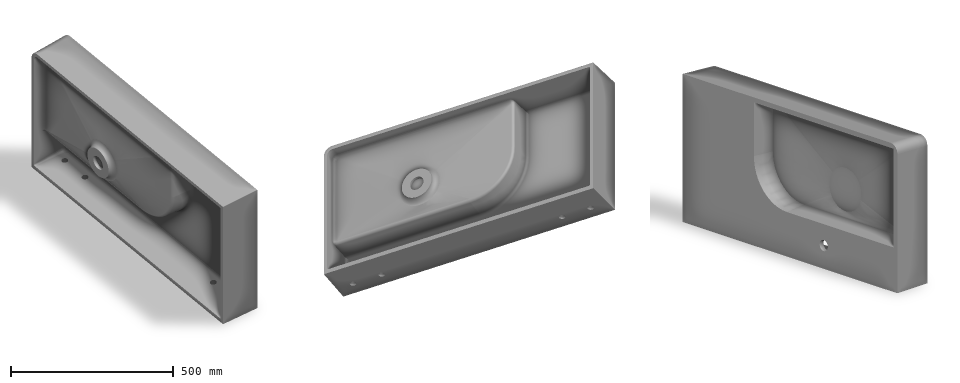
import cadquery as cq
import math

WIDTH = 950.0
DEPTH = 130.0
HEIGHT = 480.0
CORNER_RADIUS = 29.0

LEAN_LEFT = 3.0
LEAN_RIGHT = 6.0
LEAN_TOP = 3.0
LEAN_BOTTOM = 1.0

RIM_LEFT = 14.0
RIM_RIGHT = 933.0
RIM_TOP = 465.0
RIM_BOTTOM = 15.0
CAVITY_LEAN = 4.0
CAVITY_LEAN_BOTTOM = 6.0
TOP_LEFT_RADIUS = 19.0
RIM_SMALL_RADIUS = 5.0
DECK_SMALL_RADIUS = 11.0
DECK_THICKNESS = 16.0
DECK_Y = DEPTH - DECK_THICKNESS
INNER_FILLET = 9.5

BOWL_RIGHT = 651.0
BOWL_BOTTOM = 128.0
BOWL_RADIUS = 161.5
BOWL_FLOOR_Y = 40.0
BOWL_DRAFT = 7.0
BOWL_OVERLAP = 9.5
BOWL_THICKNESS = 16.0

DRAIN_X = 326.0
DRAIN_Z = 236.0
DRAIN_RADIUS = 24.0
BOSS_RADIUS = 52.0
FLARE_RADIUS = 70.0
FLARE_Y = 22.0
BOSS_FACE_Y = 3.0
BOSS_EDGE_HEIGHT = 2.0
COVER_RADIUS = 38.0
SEAT_THICKNESS = 11.0
SEAT_Y = BOSS_FACE_Y + SEAT_THICKNESS
DRAIN_FLOOR_Y = FLARE_Y + BOWL_THICKNESS

TAP_RADIUS = 18.0
TAP_Z = 75.0
MOUNT_RADIUS = 10.0
MOUNT_Y = 85.5
MOUNT_CENTER_X = (LEAN_LEFT + WIDTH - LEAN_RIGHT) / 2
MOUNT_OFFSETS = (315.0, 415.0)

TOLERANCE = 0.01
DIAGONAL = math.sqrt(0.5)


def at_y(y):
    """Workplane at the given Y, with local axes X and Z and its normal along -Y."""
    return cq.Workplane("XZ", origin=(0, y, 0))


def cylinder(x, z, radius, y_front, y_back):
    """Round bar along Y."""
    return at_y(y_back).center(x, z).circle(radius).extrude(y_back - y_front)


def lying_at(y):
    """Selector for edges or faces that lie flat at the given Y."""
    return cq.selectors.BoxSelector(
        (0, y - TOLERANCE, 0), (WIDTH, y + TOLERANCE, HEIGHT), boundingbox=True
    )


def loft(first, second):
    """Solid with straight sides between two closed wires."""
    return cq.Workplane(cq.Solid.makeLoft([first, second], True))


def box_outline(y, left, bottom, right, top, top_left_radius, other_radius=0.0):
    """Rectangle with its top left corner rounded, and the other corners too if asked."""
    slab = (
        at_y(y)
        .center((left + right) / 2, (bottom + top) / 2)
        .rect(right - left, top - bottom)
        .extrude(9.5)
    )
    top_left = cq.selectors.NearestToPointSelector((left, y, top))
    if other_radius:
        slab = slab.edges("|Y").edges(">X or <Z").fillet(other_radius)
    slab = slab.edges("|Y").edges(top_left).fillet(top_left_radius)
    return slab.faces(">Y").wires().val()


def bowl_outline(y, left, top, inset):
    """Square corners on the left and top, one large arc at the bottom right."""
    right = BOWL_RIGHT - inset
    bottom = BOWL_BOTTOM + inset
    radius = BOWL_RADIUS - inset
    arc_middle = (right - radius + radius * DIAGONAL, bottom + radius - radius * DIAGONAL)
    return (
        at_y(y)
        .moveTo(left, top)
        .lineTo(right, top)
        .lineTo(right, bottom + radius)
        .threePointArc(arc_middle, (right - radius, bottom))
        .lineTo(left, bottom)
        .close()
        .wires()
        .val()
    )


def drain_ring(y, outline):
    """Circle around the drain, split in line with each corner of the bowl floor."""
    angles = sorted(
        math.atan2(corner.Z - DRAIN_Z, corner.X - DRAIN_X) for corner in outline.Vertices()
    )
    ends = angles[1:] + [angles[0] + 2 * math.pi]

    def point(angle):
        return cq.Vector(
            DRAIN_X + FLARE_RADIUS * math.cos(angle), y, DRAIN_Z + FLARE_RADIUS * math.sin(angle)
        )

    arcs = [
        cq.Edge.makeThreePointArc(point(start), point((start + end) / 2), point(end))
        for start, end in zip(angles, ends)
    ]
    return cq.Wire.assembleEdges(arcs)


def floor_slope(outline, ring_y):
    """Sloping solid between the bowl floor's outline and the ring around the drain."""
    return loft(outline, drain_ring(ring_y, outline))


def make_block():
    rim = box_outline(
        0, LEAN_LEFT, LEAN_BOTTOM, WIDTH - LEAN_RIGHT, HEIGHT - LEAN_TOP, CORNER_RADIUS
    )
    back = box_outline(DEPTH, 0, 0, WIDTH, HEIGHT, CORNER_RADIUS)
    return loft(rim, back)


def make_boss():
    """Flared boss: a concave arc from the sloping floor up to a short straight edge."""
    edge_y = BOSS_FACE_Y + BOSS_EDGE_HEIGHT
    flare_width = FLARE_RADIUS - BOSS_RADIUS
    flare_height = FLARE_Y - edge_y
    arc_middle = (FLARE_RADIUS - flare_width * DIAGONAL, edge_y + flare_height * DIAGONAL)
    return (
        cq.Workplane("XY", origin=(DRAIN_X, 0, DRAIN_Z))
        .moveTo(0, BOSS_FACE_Y)
        .lineTo(BOSS_RADIUS, BOSS_FACE_Y)
        .lineTo(BOSS_RADIUS, edge_y)
        .threePointArc(arc_middle, (FLARE_RADIUS, FLARE_Y))
        .lineTo(FLARE_RADIUS, BOWL_FLOOR_Y)
        .lineTo(0, BOWL_FLOOR_Y)
        .close()
        .revolve(360, (0, 0, 0), (0, 1, 0))
    )


def make_cavity():
    """Open space behind the rim, with the bowl's underside standing in it."""
    lean = CAVITY_LEAN
    rim = box_outline(
        0, RIM_LEFT, RIM_BOTTOM, RIM_RIGHT, RIM_TOP, TOP_LEFT_RADIUS, RIM_SMALL_RADIUS
    )
    deck = box_outline(
        DECK_Y, RIM_LEFT + lean, RIM_BOTTOM + CAVITY_LEAN_BOTTOM, RIM_RIGHT - lean, RIM_TOP - lean,
        TOP_LEFT_RADIUS, DECK_SMALL_RADIUS,
    )
    left = RIM_LEFT - BOWL_OVERLAP
    top = RIM_TOP + BOWL_OVERLAP
    bowl = loft(
        bowl_outline(DECK_Y, left, top, 0),
        bowl_outline(BOWL_FLOOR_Y, left, top, BOWL_DRAFT),
    )
    cavity = loft(rim, deck).cut(bowl)

    deck_and_floor = lying_at(DECK_Y) + lying_at(BOWL_FLOOR_Y)
    cavity = cavity.edges(deck_and_floor).fillet(INNER_FILLET)
    floor_outline = cavity.faces(lying_at(BOWL_FLOOR_Y)).val().outerWire()
    raised_floor = floor_slope(floor_outline, FLARE_Y).union(make_boss())
    return cavity.cut(raised_floor)


def make_bowl_hollow():
    """Washing side of the bowl, one wall thickness inside its underside."""
    left = BOWL_THICKNESS
    top = HEIGHT - BOWL_THICKNESS
    floor_y = BOWL_FLOOR_Y + BOWL_THICKNESS
    mouth = bowl_outline(DEPTH, left, top, BOWL_THICKNESS)
    floor_outline = bowl_outline(floor_y, left, top, BOWL_THICKNESS + BOWL_DRAFT)
    return loft(mouth, floor_outline).union(floor_slope(floor_outline, DRAIN_FLOOR_Y))


def make_mount_holes():
    """Mirrored pairs of mounting holes through the bottom side."""
    positions = [
        (MOUNT_CENTER_X + side * offset, MOUNT_Y) for side in (-1, 1) for offset in MOUNT_OFFSETS
    ]
    drill_depth = RIM_BOTTOM + CAVITY_LEAN_BOTTOM
    return cq.Workplane("XY").pushPoints(positions).circle(MOUNT_RADIUS).extrude(drill_depth)


def make_basin():
    basin = make_block().cut(make_cavity()).cut(make_bowl_hollow())
    basin = basin.cut(cylinder(DRAIN_X, DRAIN_Z, DRAIN_RADIUS, 0, DEPTH))
    basin = basin.cut(cylinder(DRAIN_X, DRAIN_Z, COVER_RADIUS, SEAT_Y, DEPTH))
    basin = basin.cut(cylinder(DRAIN_X, TAP_Z, TAP_RADIUS, 0, DEPTH))
    return basin.cut(make_mount_holes()).solids()


def make_drain_cover():
    """Disc in the seat above the drain hole, flush with the floor around it."""
    return cylinder(DRAIN_X, DRAIN_Z, COVER_RADIUS, SEAT_Y, DRAIN_FLOOR_Y)


basin = make_basin()
drain_cover = make_drain_cover()
result = cq.Compound.makeCompound([basin.val(), drain_cover.val()])